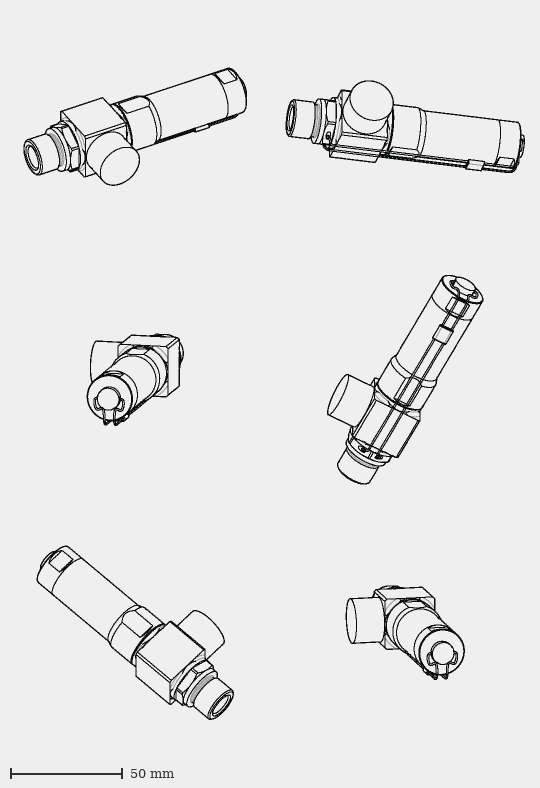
import cadquery as cq
import math

RELIEF_START = 9.4
FLANGE_START = 12.0
HEX_START = 14.1
HEX_END = 18.5
BLOCK_START = 20.9
BLOCK_END = 41.8
BODY_END = 44.4
CONE_START = 57.3
CONE_END = 60.1
CAP_START = 94.3
CAP_END = 103.8
KNOB_END = 106.7

THREAD_R = 8.3
THREAD_CHAMFER = 0.6
RELIEF_R = 7.3
RELIEF_ANGLE = 50.0
RELIEF_ROUND = 1.1
RELIEF_CORNER = 0.4
HEX_FLATS = 20.1
HEX_CORNER_R = 11.3
HEX_CHAMFER_ANGLE = 30.0
BORE_R = 5.1
BORE_CHAMFER = 0.7
BORE_DEPTH = 11.7
BORE_TIP_R = 3.1
HEX_HOLE_R = 1.0
HEX_HOLE_Y = 16.4
HEX_HOLE_Z = -9.1

BLOCK_HALF = 11.5
BLOCK_CHAMFER = 1.0
COLLAR_R = 11.4
INLET_COLLAR_FILLET = 1.0
BONNET_COLLAR_FILLET = 1.5
OUTLET_R = 10.0
OUTLET_END = 24.4

BONNET_FLANGE_R = BLOCK_HALF
BONNET_R = 10.5
GROOVE_R = 10.6
GROOVE_WIDTH = 0.4
BONNET_FLAT_Z = 10.8
BONNET_FLAT_START = 46.2
CAP_CHAMFER = 0.3
CAP_FLAT_Z = 9.5
CAP_FLAT_START = 95.6
CAP_FLAT_END = 102.1
KNOB_R = 5.0
KNOB_HOLE_R = 1.0
KNOB_HOLE_Y = 105.1

WIRE_R = 0.37
LEG_X = 2.3
LEG_Z = -12.64
LEG_START = 19.4
LEG_END = 100.9
ELBOW_R = 3.6
KNOB_BEND_POINTS = [(6.6, 105.0, -1.5), (5.2, 104.8, -5.3)]
HEX_BEND_POINTS = [(3.6, 17.5, -11.3), (4.4, 16.6, -9.7)]
HEX_BEND_END_X = 3.4
SEAL_WALL = 0.6
SEAL_START = 81.6
SEAL_LENGTH = 7.0


def cylinder_y(radius, start, end):
    """Solid cylinder on the Y axis."""
    return cq.Workplane("XZ", origin=(0, start, 0)).circle(radius).extrude(start - end)


def cross_hole(radius, y, z):
    """Cutter for a hole that runs along X through the whole part."""
    return cq.Workplane("YZ").center(y, z).circle(radius).extrude(OUTLET_END, both=True)


def wrench_flats(flat_z, start, end):
    """Cutters for two flats at +/- flat_z; the ends of each flat rise at 45 degrees."""
    rise = BLOCK_HALF
    profile = [(start, flat_z), (end, flat_z), (end + rise, flat_z + rise), (start - rise, flat_z + rise)]
    upper = cq.Workplane("YZ").polyline(profile).close().extrude(BLOCK_HALF, both=True)
    return upper.union(upper.mirror("XY"))


def make_inlet():
    slope = math.radians(RELIEF_ANGLE)
    round_r = RELIEF_R + RELIEF_ROUND * (1 - math.cos(slope))
    round_y = RELIEF_START + (THREAD_R - round_r) / math.tan(slope)
    neck_y = round_y + RELIEF_ROUND * math.sin(slope)
    round_mid = (
        RELIEF_R + RELIEF_ROUND * (1 - math.cos(slope / 2)),
        neck_y - RELIEF_ROUND * math.sin(slope / 2),
    )
    corner_mid = (
        RELIEF_R + RELIEF_CORNER * (1 - math.sqrt(0.5)),
        FLANGE_START - RELIEF_CORNER * (1 - math.sqrt(0.5)),
    )
    turned = (
        cq.Workplane("XY")
        .moveTo(0, 0)
        .lineTo(THREAD_R - THREAD_CHAMFER, 0)
        .lineTo(THREAD_R, THREAD_CHAMFER)
        .lineTo(THREAD_R, RELIEF_START)
        .lineTo(round_r, round_y)
        .threePointArc(round_mid, (RELIEF_R, neck_y))
        .lineTo(RELIEF_R, FLANGE_START - RELIEF_CORNER)
        .threePointArc(corner_mid, (RELIEF_R + RELIEF_CORNER, FLANGE_START))
        .lineTo(HEX_FLATS / 2, FLANGE_START)
        .lineTo(HEX_FLATS / 2, HEX_END)
        .lineTo(0, HEX_END)
        .close()
        .revolve(360, (0, 0, 0), (0, 1, 0))
    )
    hexagon = (
        cq.Workplane("XZ", origin=(0, HEX_START, 0))
        .polygon(6, HEX_FLATS, circumscribed=True)
        .extrude(HEX_START - HEX_END)
    )
    chamfer_length = (HEX_CORNER_R - HEX_FLATS / 2) * math.tan(math.radians(HEX_CHAMFER_ANGLE))
    hex_limit = (
        cq.Workplane("XY")
        .polyline([
            (0, HEX_START),
            (HEX_FLATS / 2, HEX_START),
            (HEX_CORNER_R, HEX_START + chamfer_length),
            (HEX_CORNER_R, HEX_END),
            (0, HEX_END),
        ])
        .close()
        .revolve(360, (0, 0, 0), (0, 1, 0))
    )
    bore = (
        cq.Workplane("XY")
        .polyline([
            (0, 0),
            (BORE_R + BORE_CHAMFER, 0),
            (BORE_R, BORE_CHAMFER),
            (BORE_R, BORE_DEPTH),
            (BORE_TIP_R, BORE_DEPTH + BORE_R - BORE_TIP_R),
            (0, BORE_DEPTH + BORE_R - BORE_TIP_R),
        ])
        .close()
        .revolve(360, (0, 0, 0), (0, 1, 0))
    )
    wire_hole = cross_hole(HEX_HOLE_R, HEX_HOLE_Y, HEX_HOLE_Z)
    return turned.union(hexagon.intersect(hex_limit)).cut(bore).cut(wire_hole)


def collar(face_y, end_y, fillet):
    """Round collar on a block face, with a fillet that narrows to nothing mid-side."""
    out = math.copysign(1, end_y - face_y)
    fillet_mid = fillet * (1 - math.sqrt(0.5))
    flare = (
        cq.Workplane("XY")
        .moveTo(0, face_y)
        .lineTo(COLLAR_R + fillet, face_y)
        .threePointArc(
            (COLLAR_R + fillet_mid, face_y + out * fillet_mid),
            (COLLAR_R, face_y + out * fillet),
        )
        .lineTo(0, face_y + out * fillet)
        .close()
        .revolve(360, (0, 0, 0), (0, 1, 0))
    )
    stub = (
        cq.Workplane("XZ", origin=(0, face_y, 0))
        .rect(2 * BLOCK_HALF, 2 * BLOCK_HALF)
        .workplane(offset=-out * fillet)
        .rect(2 * (BLOCK_HALF - fillet), 2 * (BLOCK_HALF - fillet))
        .loft(ruled=True)
    )
    return cylinder_y(COLLAR_R, face_y, end_y).union(flare.intersect(stub))


def make_body():
    block = (
        cq.Workplane("XZ", origin=(0, BLOCK_START, 0))
        .rect(2 * BLOCK_HALF, 2 * BLOCK_HALF)
        .extrude(BLOCK_START - BLOCK_END)
        .edges("|Y")
        .chamfer(BLOCK_CHAMFER)
    )
    outlet = (
        cq.Workplane("YZ")
        .center((BLOCK_START + BLOCK_END) / 2, 0)
        .circle(OUTLET_R)
        .extrude(OUTLET_END)
    )
    inlet_collar = collar(BLOCK_START, HEX_END, INLET_COLLAR_FILLET)
    bonnet_collar = collar(BLOCK_END, BODY_END, BONNET_COLLAR_FILLET)
    return block.union(outlet).union(inlet_collar).union(bonnet_collar)


def make_bonnet():
    shell = (
        cq.Workplane("XY")
        .polyline([
            (0, BODY_END),
            (GROOVE_R, BODY_END),
            (GROOVE_R, BODY_END + GROOVE_WIDTH),
            (BONNET_FLANGE_R, BODY_END + GROOVE_WIDTH),
            (BONNET_FLANGE_R, CONE_START),
            (BONNET_R, CONE_END),
            (BONNET_R, CAP_START),
            (0, CAP_START),
        ])
        .close()
        .revolve(360, (0, 0, 0), (0, 1, 0))
    )
    return shell.cut(wrench_flats(BONNET_FLAT_Z, BONNET_FLAT_START, CONE_END))


def make_cap():
    head = cylinder_y(BONNET_R, CAP_START, CAP_END).faces(">Y").chamfer(CAP_CHAMFER)
    knob = cylinder_y(KNOB_R, CAP_END, KNOB_END)
    wire_hole = cross_hole(KNOB_HOLE_R, KNOB_HOLE_Y, 0)
    return (
        head.cut(wrench_flats(CAP_FLAT_Z, CAP_FLAT_START, CAP_FLAT_END))
        .union(knob)
        .cut(wire_hole)
    )


def make_wire():
    """Closed wire loop: through the knob, along two legs and through the hexagon."""
    knob_exit = cq.Vector(KNOB_R, KNOB_HOLE_Y, 0)
    knob_bend = [cq.Vector(*point) for point in KNOB_BEND_POINTS]
    elbow_top = cq.Vector(LEG_X, LEG_END + ELBOW_R, LEG_Z + ELBOW_R)
    leg_end = cq.Vector(LEG_X, LEG_END, LEG_Z)
    elbow_mid = leg_end + cq.Vector(0, math.sqrt(0.5), 1 - math.sqrt(0.5)) * ELBOW_R
    leg_start = cq.Vector(LEG_X, LEG_START, LEG_Z)
    hex_bend = [cq.Vector(*point) for point in HEX_BEND_POINTS]
    hex_exit = cq.Vector(HEX_BEND_END_X, HEX_HOLE_Y, HEX_HOLE_Z)
    right_half = cq.Wire.assembleEdges([
        cq.Edge.makeLine(cq.Vector(0, KNOB_HOLE_Y, 0), knob_exit),
        cq.Edge.makeSpline([knob_exit, *knob_bend, elbow_top], [cq.Vector(1, 0, 0), cq.Vector(0, 0, -1)]),
        cq.Edge.makeThreePointArc(elbow_top, elbow_mid, leg_end),
        cq.Edge.makeLine(leg_end, leg_start),
        cq.Edge.makeSpline([leg_start, *hex_bend, hex_exit], [cq.Vector(0, -1, 0), cq.Vector(-1, 0, 0)]),
        cq.Edge.makeLine(hex_exit, cq.Vector(0, HEX_HOLE_Y, HEX_HOLE_Z)),
    ])
    half = cq.Workplane("YZ").center(KNOB_HOLE_Y, 0).circle(WIRE_R).sweep(cq.Workplane(right_half))
    return half.union(half.mirror("YZ"))


def make_seal():
    """Flat sleeve crimped round both legs of the wire."""
    section = cq.Workplane("XZ", origin=(0, SEAL_START, LEG_Z))
    inner_height = 2 * WIRE_R
    inner_width = 2 * (LEG_X + WIRE_R)
    sleeve = section.slot2D(inner_width + 2 * SEAL_WALL, inner_height + 2 * SEAL_WALL).extrude(-SEAL_LENGTH)
    passage = section.slot2D(inner_width, inner_height).extrude(-SEAL_LENGTH)
    return sleeve.cut(passage)


inlet = make_inlet()
body = make_body()
bonnet = make_bonnet()
cap = make_cap()
wire = make_wire()
seal = make_seal()

result = cq.Compound.makeCompound(
    [inlet.val(), body.val(), bonnet.val(), cap.val(), wire.val(), seal.val()]
)